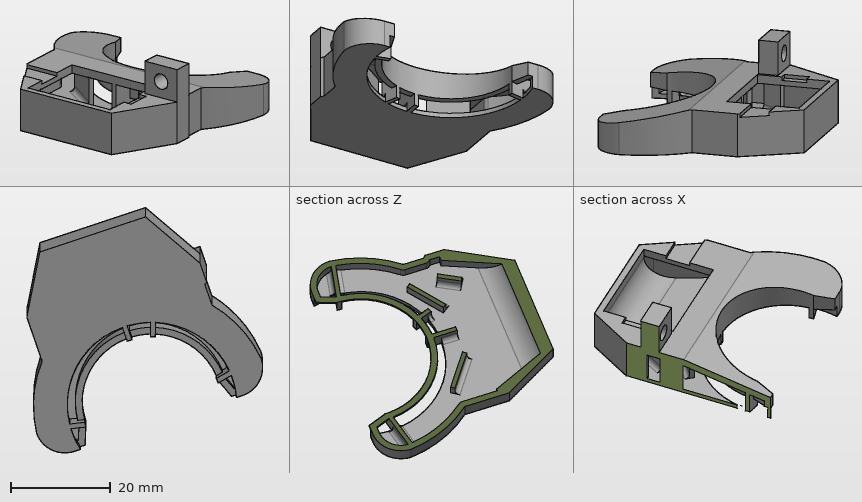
import cadquery as cq
import math


mouth_radius = 14.0
outer_radius = 23.8
arm_tip_y = 4.0
arm_corner_radius = 6.0
arm_corner_x = outer_radius - arm_corner_radius
arm_corner_y = arm_tip_y - arm_corner_radius
mouth_lip_x = 15.5
front_y = -37.0
front_half_width = 11.2
body_half_width = 18.0
left_bevel_y = -25.1
tab_edge_x = 18.5

deck_z = 9.0
slope_start_y = -15.0
slope_angle = math.radians(10.0)
roof_thickness = 1.8
floor_z = 1.0
arm_tip_z = deck_z - (arm_tip_y - slope_start_y) * math.tan(slope_angle)

wall = 1.4
cavity_front_half_width = 10.6
cavity_shoulder = (16.2, -23.0)
trough_radius = 5.8

seat_radius = 17.0
seat_height = 2.65

opening_left_x = -10.3
opening_right_x = 9.8
opening_back_y = -20.4
recess_right_x = 11.6
recess_front_y = -30.75
recess_back_y = -25.55
recess_depth = 0.75

lug_left_x = 10.55
lug_front_y = -24.5
lug_back_y = opening_back_y
lug_top_z = 16.0
lug_hole_diameter = 3.3
lug_hole_z = 12.5
jog_y = lug_back_y + tab_edge_x - body_half_width

rib_thickness = 1.0
arm_rib_start = (13.0, -0.3)
arm_rib_angle = -12.0
arm_rib_fillet_start = seat_radius - arm_rib_start[0]
rib_fillet = 1.0
middle_rib_angle = -90.0
short_rib_angle = -70.5
short_rib_end_radius = 17.9
oblique_rib_start = (5.85, -20.0)
oblique_rib_angle = 36.0
oblique_rib_length = 8.8
bevel_rib_start = (10.6, -25.4)
bevel_rib_angle = 60.0
bevel_rib_length = 5.0

cut_margin = 1.0


def on_outer_circle(x):
    """Point of the outer circle, on its front half, at the given x."""
    return (x, -math.sqrt(outer_radius**2 - x**2))


def outer_arc_middle(side):
    """Point halfway along the outer arc of one arm (side is -1 or 1)."""
    neck_angle = math.acos(body_half_width / outer_radius)
    return (side * outer_radius * math.cos(neck_angle / 2), -outer_radius * math.sin(neck_angle / 2))


def arm_corner_middle(side):
    """Point halfway along the rounded corner at the end of one arm."""
    reach = arm_corner_radius * math.sqrt(0.5)
    return (side * (arm_corner_x + reach), arm_corner_y + reach)


def outline():
    """Plan outline of the part, counterclockwise from the front left corner."""
    return (
        cq.Workplane("XY")
        .moveTo(-front_half_width, front_y)
        .lineTo(front_half_width, front_y)
        .lineTo(tab_edge_x, lug_front_y)
        .lineTo(tab_edge_x, lug_back_y)
        .lineTo(body_half_width, jog_y)
        .lineTo(*on_outer_circle(body_half_width))
        .threePointArc(outer_arc_middle(1), (outer_radius, arm_corner_y))
        .threePointArc(arm_corner_middle(1), (arm_corner_x, arm_tip_y))
        .lineTo(mouth_lip_x, arm_tip_y)
        .lineTo(mouth_radius, 0)
        .threePointArc((0, -mouth_radius), (-mouth_radius, 0))
        .lineTo(-mouth_lip_x, arm_tip_y)
        .lineTo(-arm_corner_x, arm_tip_y)
        .threePointArc(arm_corner_middle(-1), (-outer_radius, arm_corner_y))
        .threePointArc(outer_arc_middle(-1), on_outer_circle(-body_half_width))
        .lineTo(-body_half_width, left_bevel_y)
        .close()
    )


def across_part(side_profile):
    """Extrude a YZ profile over more than the full width of the part."""
    return side_profile.extrude(outer_radius + cut_margin, both=True)


def make_envelope():
    """Solid body with the deck sloping down toward the arm tips."""
    side_profile = (
        cq.Workplane("YZ")
        .moveTo(front_y, 0)
        .lineTo(arm_tip_y, 0)
        .lineTo(arm_tip_y, arm_tip_z)
        .lineTo(slope_start_y, deck_z)
        .lineTo(front_y, deck_z)
        .close()
    )
    return outline().extrude(deck_z).intersect(across_part(side_profile))


def thicken_bevel_wall(side):
    """Wedge that thickens the slanted front wall of one side, toward its rear end."""
    shoulder_x, shoulder_y = cavity_shoulder
    return (
        cq.Workplane("XY")
        .moveTo(side * cavity_front_half_width, front_y + wall)
        .lineTo(side * shoulder_x, shoulder_y)
        .lineTo(side * outer_radius, shoulder_y)
        .lineTo(side * outer_radius, front_y + wall)
        .close()
        .extrude(deck_z)
    )


def make_cavity():
    """Hollow inside the walls, with a floor curving up into the front wall."""
    inner_front_y = front_y + wall
    curve_y = inner_front_y + trough_radius
    curve_z = floor_z + trough_radius
    reach = trough_radius * math.sqrt(0.5)
    roof_z = deck_z - roof_thickness
    side_profile = (
        cq.Workplane("YZ")
        .moveTo(curve_y, floor_z)
        .lineTo(arm_tip_y, floor_z)
        .lineTo(arm_tip_y, arm_tip_z - roof_thickness)
        .lineTo(slope_start_y, roof_z)
        .lineTo(inner_front_y, roof_z)
        .lineTo(inner_front_y, curve_z)
        .threePointArc((curve_y - reach, curve_z - reach), (curve_y, floor_z))
        .close()
    )
    cavity = outline().offset2D(-wall).extrude(deck_z).intersect(across_part(side_profile))
    return cavity.cut(thicken_bevel_wall(1)).cut(thicken_bevel_wall(-1))


def make_seat():
    """Round step that widens the mouth at the underside."""
    return cq.Workplane("XY").circle(seat_radius).extrude(seat_height)


def box_between(low, high):
    """Axis-aligned box between two opposite corners."""
    size = [b - a for a, b in zip(low, high)]
    return cq.Workplane("XY").box(*size, centered=False).translate(low)


def make_opening():
    """Rectangular opening through the deck into the cavity."""
    low = (opening_left_x, front_y + wall, deck_z - roof_thickness)
    return box_between(low, (opening_right_x, opening_back_y, deck_z))


def make_recess():
    """Shallow recess in the deck, open at the left side."""
    low = (-body_half_width, recess_front_y, deck_z - recess_depth)
    return box_between(low, (recess_right_x, recess_back_y, deck_z))


def make_lug():
    """Upright lug with its hole along Y."""
    lug = box_between(
        (lug_left_x, lug_front_y, deck_z - roof_thickness), (tab_edge_x, lug_back_y, lug_top_z)
    )
    hole = (
        cq.Workplane("XZ", origin=((lug_left_x + tab_edge_x) / 2, lug_back_y, lug_hole_z))
        .circle(lug_hole_diameter / 2)
        .extrude(lug_back_y - lug_front_y)
    )
    return lug.cut(hole)


def make_floor_fillet():
    """Section of the concave fillet between the right side of a rib and the floor."""
    half = rib_thickness / 2
    foot = half + rib_fillet
    fillet_top = floor_z + rib_fillet
    reach = rib_fillet * math.sqrt(0.5)
    return (
        cq.Workplane("XZ")
        .moveTo(half, floor_z)
        .lineTo(foot, floor_z)
        .threePointArc((foot - reach, fillet_top - reach), (half, fillet_top))
        .close()
    )


def make_rib(start, angle, length, fillet_start=0, left_fillet=True):
    """Upright rib from start along angle, blending into the floor beyond fillet_start."""
    rib = cq.Workplane("XY").box(rib_thickness, length, deck_z, centered=(True, False, False))
    fillet = make_floor_fillet().extrude(fillet_start - length).translate((0, fillet_start, 0))
    rib = rib.union(fillet)
    if left_fillet:
        rib = rib.union(fillet.mirror("YZ"))
    return rib.rotate((0, 0, 0), (0, 0, 1), angle - 90).translate((*start, 0))


def make_radial_rib(angle, end_radius):
    """Rib outward from the mouth axis; over the seat it has no floor to blend into."""
    return make_rib((0, 0), angle, end_radius, fillet_start=seat_radius)


def make_ribs():
    """All inner ribs."""
    ribs = make_radial_rib(middle_rib_angle, -opening_back_y)
    ribs = ribs.union(make_radial_rib(short_rib_angle, short_rib_end_radius))
    paired_ribs = [
        make_rib(oblique_rib_start, oblique_rib_angle, oblique_rib_length, left_fillet=False),
        make_rib(arm_rib_start, arm_rib_angle, outer_radius - mouth_radius, arm_rib_fillet_start),
    ]
    for rib in paired_ribs:
        ribs = ribs.union(rib).union(rib.mirror("YZ"))
    return ribs.union(make_rib(bevel_rib_start, bevel_rib_angle, bevel_rib_length))


envelope = make_envelope()
mouth = cq.Workplane("XY").circle(mouth_radius).extrude(deck_z)
ribs_inside = make_ribs().intersect(envelope).cut(mouth)
shell = envelope.cut(make_cavity()).cut(make_seat())
result = shell.union(ribs_inside).cut(make_opening()).cut(make_recess()).union(make_lug())